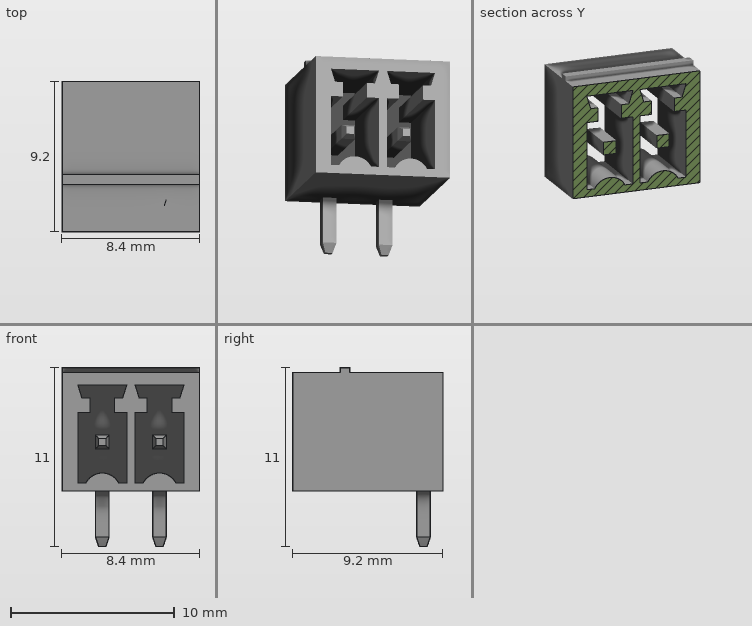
import cadquery as cq


pole_count = 2
pitch = 3.5
side_wall = 0.95
cavity_width = 3.0
housing_width = (pole_count - 1) * pitch + cavity_width + 2 * side_wall
housing_depth = 9.2
housing_height = 7.25

rib_front = 2.9
rib_width = 0.6
rib_height = 0.3

back_wall = 2.0
cavity_depth = housing_depth - back_wall
floor_z = 0.5
ceiling_z = 6.5
shoulder_z = 4.8
latch_z = 5.7
neck_width = 1.5
latch_base_width = 2.5
floor_bump_width = 2.0
floor_bump_height = 0.6

pin_size = 0.85
pin_tip_size = 0.45
pin_taper_length = 0.6
contact_z = 3.0
contact_recess = 1.4
solder_pin_inset = 1.2
solder_pin_y = housing_depth - solder_pin_inset
solder_pin_length = 3.4

pole_positions = [(i - (pole_count - 1) / 2) * pitch for i in range(pole_count)]


def make_housing():
    block = cq.Workplane("XY").box(
        housing_width, housing_depth, housing_height, centered=(True, False, False)
    )
    rib = (
        cq.Workplane("XY", origin=(0, rib_front, housing_height))
        .box(housing_width, rib_width, rib_height, centered=(True, False, False))
    )
    return block.union(rib)


def make_cavity(x):
    """Keyed plug cavity with a rounded bump along its floor."""
    half_cavity = cavity_width / 2
    half_neck = neck_width / 2
    half_latch = latch_base_width / 2
    half_bump = floor_bump_width / 2
    return (
        cq.Workplane("XZ", origin=(x, 0, 0))
        .moveTo(-half_cavity, floor_z)
        .lineTo(-half_bump, floor_z)
        .threePointArc((0, floor_z + floor_bump_height), (half_bump, floor_z))
        .lineTo(half_cavity, floor_z)
        .lineTo(half_cavity, shoulder_z)
        .lineTo(half_neck, shoulder_z)
        .lineTo(half_neck, latch_z)
        .lineTo(half_latch, latch_z)
        .lineTo(half_cavity, ceiling_z)
        .lineTo(-half_cavity, ceiling_z)
        .lineTo(-half_latch, latch_z)
        .lineTo(-half_neck, latch_z)
        .lineTo(-half_neck, shoulder_z)
        .lineTo(-half_cavity, shoulder_z)
        .close()
        .extrude(-cavity_depth)
    )


def make_pin(start_plane, length):
    """Square pin growing along the plane normal and ending in a tapered tip."""
    shank_length = length - pin_taper_length
    shank = cq.Workplane(start_plane).rect(pin_size, pin_size).extrude(shank_length)
    tip = (
        shank.faces(cq.selectors.DirectionMinMaxSelector(start_plane.zDir))
        .workplane()
        .rect(pin_size, pin_size)
        .workplane(offset=pin_taper_length)
        .rect(pin_tip_size, pin_tip_size)
        .loft(combine=False)
    )
    return shank.union(tip)


def make_contact(x):
    """Horizontal contact pin and vertical solder pin, joined inside the back wall."""
    bend = cq.Vector(x, solder_pin_y, contact_z)
    x_axis = cq.Vector(1, 0, 0)
    contact_pin = make_pin(
        cq.Plane(bend, x_axis, cq.Vector(0, -1, 0)), solder_pin_y - contact_recess
    )
    solder_pin = make_pin(
        cq.Plane(bend, x_axis, cq.Vector(0, 0, -1)), contact_z + solder_pin_length
    )
    return contact_pin.union(solder_pin)


result = make_housing()
for pole_x in pole_positions:
    result = result.cut(make_cavity(pole_x))
for pole_x in pole_positions:
    result = result.union(make_contact(pole_x))